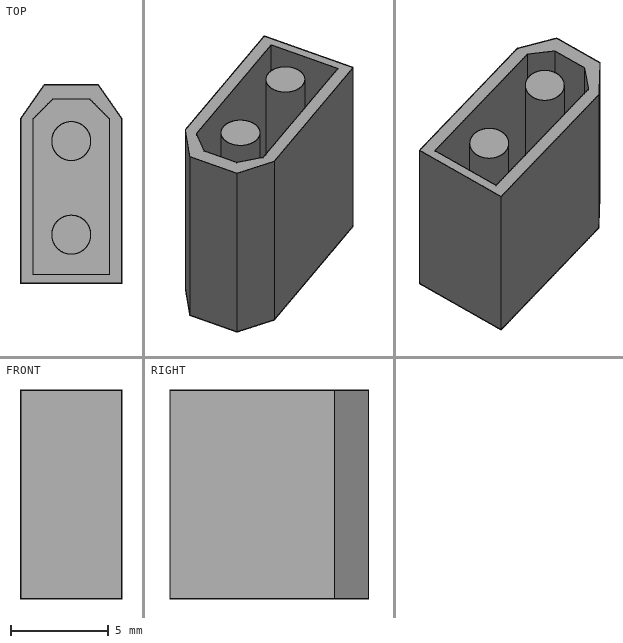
import cadquery as cq

width = 5.2
length = 10.2
height = 10.7

nose_length = 1.75
nose_flat = 2.76

side_wall = 0.65
rear_wall = 0.45
nose_wall = 0.75
floor_thickness = 1.0
pocket_width = width - 2 * side_wall
pocket_length = length - rear_wall - nose_wall
pocket_nose_length = 1.0
pocket_nose_flat = pocket_width - 2 * pocket_nose_length

pin_diameter = 2.0
pin_pitch = 4.8
rear_pin_y = 2.5


def nosed_prism(full_width, full_length, taper_length, flat_width, y_rear, z_bottom, z_top):
    """Vertical prism, symmetric about X = 0, with its +Y end tapered to a flat."""
    y_front = y_rear + full_length
    y_taper = y_front - taper_length
    outline = [
        (-full_width / 2, y_rear),
        (full_width / 2, y_rear),
        (full_width / 2, y_taper),
        (flat_width / 2, y_front),
        (-flat_width / 2, y_front),
        (-full_width / 2, y_taper),
    ]
    return cq.Workplane("XY", origin=(0, 0, z_bottom)).polyline(outline).close().extrude(z_top - z_bottom)


def make_housing():
    """Outer block with the pocket cut down to the floor."""
    block = nosed_prism(width, length, nose_length, nose_flat, y_rear=0, z_bottom=0, z_top=height)
    pocket = nosed_prism(
        pocket_width, pocket_length, pocket_nose_length, pocket_nose_flat,
        y_rear=rear_wall, z_bottom=floor_thickness, z_top=height,
    )
    return block.cut(pocket)


def make_pins():
    """Two round pins in line along Y, rising from the base to the level of the rim."""
    pin_centers = [(0, rear_pin_y), (0, rear_pin_y + pin_pitch)]
    return cq.Workplane("XY").pushPoints(pin_centers).circle(pin_diameter / 2).extrude(height)


result = make_housing().union(make_pins())